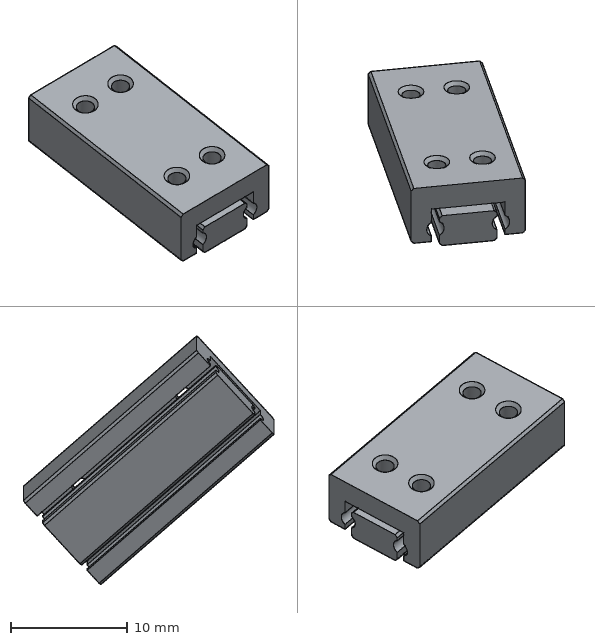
import cadquery as cq

length = 20.0

carriage_width = 10.0
carriage_top = 6.0
carriage_bottom = 0.5
channel_width = 6.45
channel_top = 3.75
carriage_chamfer = 0.25

rail_width = 5.05
rail_height = 3.0
rail_chamfer = 0.25

groove_diameter = 1.52
groove_height = 1.75
groove_offset = (channel_width + rail_width) / 4

hole_diameter = 1.55
countersink_diameter = 2.2
countersink_angle = 90.0
hole_spacing_x = 12.0
hole_spacing_y = 4.0


def make_bar(width, bottom, top):
    """Full-length rectangular bar, symmetric about y = 0."""
    return cq.Workplane("XY").box(length, width, top - bottom, centered=(False, True, False)).translate(
        (0, 0, bottom)
    )


def make_ball_grooves():
    """The two round races that run the whole length."""
    return (
        cq.Workplane("YZ")
        .pushPoints([(-groove_offset, groove_height), (groove_offset, groove_height)])
        .circle(groove_diameter / 2)
        .extrude(length)
    )


def make_carriage():
    body = make_bar(carriage_width, carriage_bottom, carriage_top)
    body = body.edges("|X").chamfer(carriage_chamfer)
    body = body.cut(make_bar(channel_width, carriage_bottom, channel_top))
    body = body.cut(make_ball_grooves())
    return (
        body.faces(">Z")
        .workplane(origin=(length / 2, 0, carriage_top))
        .rarray(hole_spacing_x, hole_spacing_y, 2, 2)
        .cskHole(hole_diameter, countersink_diameter, countersink_angle)
    )


def make_rail():
    body = make_bar(rail_width, 0, rail_height)
    body = body.edges("|X").chamfer(rail_chamfer)
    return body.cut(make_ball_grooves())


carriage = make_carriage()
rail = make_rail()

result = cq.Compound.makeCompound([carriage.val(), rail.val()])